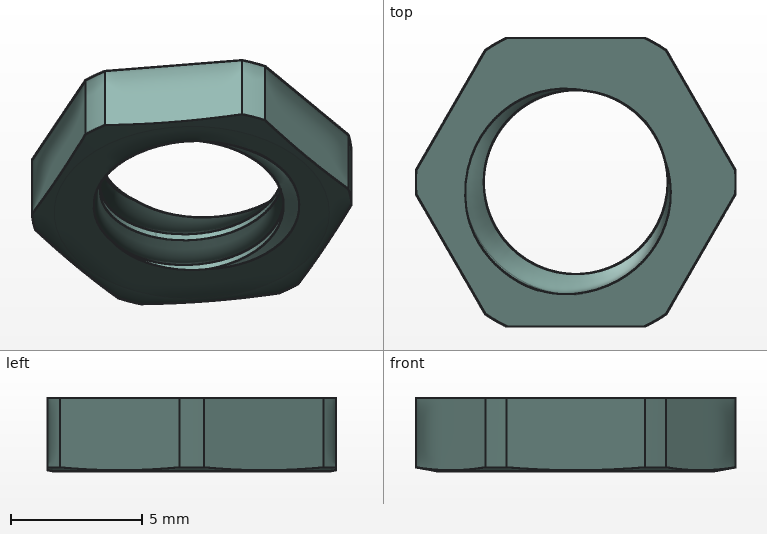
import cadquery as cq
import math

corner_diameter = 12.2
across_flats = 11.0
height = 2.8
bottom_face_radius = 5.25
bottom_bevel_height = 0.16

minor_radius = 3.5
flank_end_radius = 4.3
pitch = 1.5
flank_angle = 30.0
root_angle_at_top = 229.0
left_handed = True
cutter_overlap = 0.12
bore_overrun = 3.66


def nut_body():
    """Hexagon with rounded-off corners and a conical bevel underneath."""
    sharp_diameter = across_flats / math.cos(math.pi / 6)
    hexagon = cq.Workplane("XY").polygon(6, sharp_diameter).extrude(height)
    turned_blank = (
        cq.Workplane("XZ")
        .moveTo(0, 0)
        .lineTo(bottom_face_radius, 0)
        .lineTo(corner_diameter / 2, bottom_bevel_height)
        .lineTo(corner_diameter / 2, height)
        .lineTo(0, height)
        .close()
        .revolve(360, (0, 0), (0, 1))
    )
    return hexagon.intersect(turned_blank)


def thread_groove():
    """Helical groove with straight flanks and a round root as wide as the flat crest."""
    slope = math.tan(math.radians(flank_angle))
    flank_height = (flank_end_radius - minor_radius) * slope
    half_root = (pitch / 2 - flank_height) / 2
    half_mouth = half_root + flank_height + cutter_overlap * slope
    root_radius = flank_end_radius + half_root * math.tan(math.radians((90 - flank_angle) / 2))
    inner_radius = minor_radius - cutter_overlap

    turns_below_top = math.ceil(height / pitch) + 1
    turns = turns_below_top + 1
    start_z = height - turns_below_top * pitch
    helix = cq.Wire.makeHelix(pitch, turns * pitch, minor_radius, lefthand=left_handed)
    groove = (
        cq.Workplane("XZ")
        .moveTo(inner_radius, -half_mouth)
        .lineTo(flank_end_radius, -half_root)
        .threePointArc((root_radius, 0), (flank_end_radius, half_root))
        .lineTo(inner_radius, half_mouth)
        .close()
        .sweep(cq.Workplane("XY").newObject([helix]), isFrenet=True)
    )
    return groove.rotate((0, 0, 0), (0, 0, 1), root_angle_at_top).translate((0, 0, start_z))


def threaded_bore():
    """Solid core and groove together, both running past the two faces."""
    core = (
        cq.Workplane("XY")
        .workplane(offset=-bore_overrun)
        .circle(minor_radius)
        .extrude(height + 2 * bore_overrun)
    )
    return core.union(thread_groove())


result = nut_body().cut(threaded_bore())